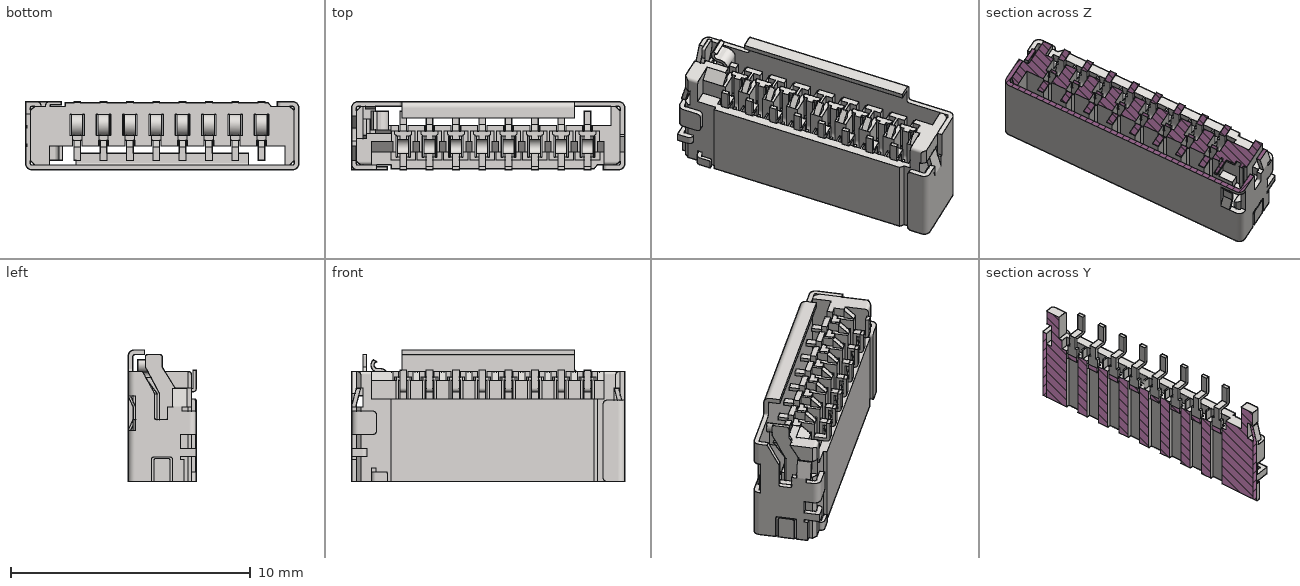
import cadquery as cq

LENGTH = 11.4
DEPTH = 2.85
HEIGHT = 5.5
RIM = 4.59
SHEET = 0.2
BEND = 0.27

TAB_LEFT, TAB_RIGHT = 2.1, 9.3
TAB_LIP = 0.7
TAB_ROOT_RADIUS = 0.1
LEFT_FLAP_END = 1.05
LEFT_FLAP_BOTTOM, LEFT_FLAP_TOP = 1.96, 2.94
HOOK_END, HOOK_ROUND = 0.65, 0.19
HOOK_EDGE = 0.66
HOOK_BOTTOM, HOOK_TOP = 1.04, 1.39
RIGHT_FLAP_START = 10.49
FLAP_RADIUS = 0.17
LEFT_SILL = 3.11
RIGHT_SILL = 3.4
SLOT_FLOOR = 2.59
SLOT_FRONT, SLOT_BACK = 1.2, 1.74
SLOT_RADIUS = 0.08
SLOT_KNEE = 3.67
SLOT_MOUTH = 2.25
RIGHT_STEP = 1.48
FINGER_TOP = 3.88
FINGER_SLOPE = 0.25
FINGER_SHEET = 0.18
LEFT_FINGER_FRONT, LEFT_FINGER_BACK = 0.4, 0.99
RIGHT_FINGER_FRONT, RIGHT_FINGER_BACK = 0.75, 1.39
RIGHT_FINGER_FOOT = 2.85
WINDOW_BOTTOM, WINDOW_TOP = 2.13, 3.58
WINDOW_END = 1.0
BOW_START = 0.59
BOW_SHEET = 0.1
BOW_DIP = 0.32
BOW_RAMP = 0.48

PANEL_FACE = 0.05
PANEL_LEFT, PANEL_RIGHT = 1.65, 10.11
PANEL_BEVEL = 0.14
LEDGE = 3.45
LEDGE_LEFT, LEDGE_RIGHT = 0.83, 10.52
COMB_FRONT, SLOPE_BACK = 0.75, 1.19
SLOPE_FOOT = 4.22
COMB_BACK = 1.86
BLOCK_BACK = 1.52
COMB_LEFT = 1.64
LEFT_PILLAR_END, RIGHT_PILLAR_START = 1.0, 10.81
END_BEVEL_X, END_BEVEL_Y = 0.18, 0.15
REAR_BEVEL = 0.18
TOP_ROUND = 0.14
LEFT_NOTCH, RIGHT_NOTCH = 0.48, 10.94
NOTCH_TOP = 3.9
ARM_SHEET = 0.15
ARM_TOP = 5.3
ARM_FRONT, ARM_BACK = 1.06, 1.54
CLIP_LEFT, CLIP_RIGHT = 0.83, 1.49
CLIP_SHEET, CLIP_ROOT = 0.14, 0.19
CLIP_TOP, CLIP_SLOT_TOP = 0.41, 0.56

CONTACTS = 8
FIRST_CONTACT, LAST_CONTACT = 2.15, 9.84
PITCH = (LAST_CONTACT - FIRST_CONTACT) / (CONTACTS - 1)
STRIP = 0.15
TAIL_WIDTH = 0.28
SPRING_WIDTH = 0.48
LEG_TOP = 4.65
RUN_BOTTOM = 3.74
SPRING_TOP = 3.31
SPRING_CENTER = 2.96
TAIL_END, TAIL_KNEE, TAIL_TOP = 2.45, 1.89, 3.88
BRIDGE_TOP = 4.35
BRIDGE_WIDTH, BRIDGE_BEVEL = 0.71, 0.08

CELL_WIDTH = 0.59
CELL_FRONT, CELL_BACK = 0.54, 1.41
PLATE_FRONT = 1.62
FRONT_MOUTH_WIDTH, REAR_MOUTH_WIDTH = 0.83, 0.99
PLATE_GAP = 0.39
POCKET_WIDTH, POCKET_FRONT, POCKET_DEPTH = 1.03, 0.42, 0.46


def block(x0, x1, y0, y1, z0, z1):
    return cq.Workplane("XY").box(x1 - x0, y1 - y0, z1 - z0, centered=False).translate((x0, y0, z0))


def side_profile(points, x0, x1):
    """Extrude a closed outline of (Y, Z) points from x0 to x1."""
    return cq.Workplane("YZ").polyline(points).close().extrude(x1 - x0).translate((x0, 0, 0))


def front_profile(points, y0, y1):
    """Extrude a closed outline of (X, Z) points from y0 to y1."""
    return cq.Workplane("XZ").polyline(points).close().extrude(y0 - y1).translate((0, y0, 0))


def wall_ring():
    """Closed rectangular sleeve from which the four walls are cut."""
    outer = block(0, LENGTH, 0, DEPTH, 0, RIM).edges("|Z").fillet(BEND)
    inner = block(SHEET, LENGTH - SHEET, SHEET, DEPTH - SHEET, 0, RIM).edges("|Z").fillet(BEND - SHEET)
    return outer.cut(inner)


def left_wall_opening():
    """Slot for the latch arm, low front sill and stepped front edge, with the flap left standing."""
    reach = BEND + SHEET
    mouth = [(-0.11, LEFT_SILL), (SLOT_FRONT, LEFT_SILL), (SLOT_FRONT, SLOT_FLOOR), (SLOT_BACK, SLOT_FLOOR),
             (SLOT_BACK, SLOT_KNEE), (SLOT_MOUTH, RIM), (-0.11, RIM)]
    opening = side_profile(mouth, 0, reach).edges("|X and <Z").fillet(SLOT_RADIUS)
    relief_depth, low_edge, low_edge_top = 0.59, 0.51, 0.92
    opening = opening.union(block(0, reach, 0, relief_depth, LEFT_FLAP_TOP, LEFT_SILL))
    opening = opening.union(block(0, reach, 0, HOOK_EDGE, low_edge_top, LEFT_FLAP_BOTTOM))
    return opening.union(block(0, reach, 0, low_edge, 0, low_edge_top))


def right_wall_opening():
    """Low front part of the right wall, with a gap below for its spring finger."""
    start = LENGTH - BEND - SHEET
    step = block(start, LENGTH, 0, RIGHT_STEP, RIGHT_SILL, RIM)
    gap = block(start, LENGTH, RIGHT_FINGER_FRONT, RIGHT_FINGER_BACK, RIGHT_FINGER_FOOT, RIGHT_SILL)
    return step.union(gap)


def front_opening():
    """Clears the front wall except for the two flaps."""
    start = BEND + SHEET
    opening = block(start, RIGHT_FLAP_START, 0, SHEET, 0, RIM)
    flap = block(0, LEFT_FLAP_END, 0, SHEET, LEFT_FLAP_BOTTOM, LEFT_FLAP_TOP)
    flap = flap.edges("|Y and >X").fillet(FLAP_RADIUS)
    above_right_flap = block(RIGHT_FLAP_START, LENGTH, 0, SHEET, RIGHT_SILL, RIM)
    return opening.cut(flap).union(above_right_flap)


def corner_hook():
    """Square-cornered hook around the front left edge, rounded at its end."""
    side = block(0, SHEET, 0, HOOK_EDGE, HOOK_BOTTOM, HOOK_TOP)
    front = block(0, HOOK_END, 0, SHEET, HOOK_BOTTOM, HOOK_TOP)
    return side.union(front.edges("|Z and >X and <Y").fillet(HOOK_ROUND))


def rear_tab():
    """Raised rear tab folded forward at the top, with rounded roots."""
    rise = block(TAB_LEFT, TAB_RIGHT, DEPTH - TAB_LIP, DEPTH, RIM, HEIGHT)
    rise = rise.edges("|X and >Y and >Z").fillet(BEND)
    under = block(TAB_LEFT, TAB_RIGHT, DEPTH - TAB_LIP, DEPTH - SHEET, RIM, HEIGHT - SHEET)
    tab = rise.cut(under.edges("|X and >Y and >Z").fillet(BEND - SHEET))
    for edge, side in ((TAB_LEFT, -1), (TAB_RIGHT, 1)):
        toe = edge + side * TAB_ROOT_RADIUS
        root = block(min(edge, toe), max(edge, toe), DEPTH - SHEET, DEPTH, RIM, RIM + TAB_ROOT_RADIUS)
        round_cut = (cq.Workplane("XZ").center(toe, RIM + TAB_ROOT_RADIUS)
                     .circle(TAB_ROOT_RADIUS).extrude(-DEPTH))
        tab = tab.union(root.cut(round_cut))
    return tab


def leaning_finger(outer_x, inward, sill, y0, y1):
    """Spring finger rising from a wall sill and leaning into the shell."""
    inner_x = outer_x + inward * FINGER_SHEET
    lean = inward * FINGER_SLOPE * (FINGER_TOP - sill)
    outline = [(outer_x, sill), (inner_x, sill), (inner_x + lean, FINGER_TOP), (outer_x + lean, FINGER_TOP)]
    return front_profile(outline, y0, y1)


def bowed_spring():
    """Strip across the rear window, bowed inward."""
    def bow(offset):
        rear, crest = DEPTH - offset, DEPTH - BOW_DIP + BOW_SHEET - offset
        return [(rear, WINDOW_BOTTOM), (crest, WINDOW_BOTTOM + BOW_RAMP),
                (crest, WINDOW_TOP - BOW_RAMP), (rear, WINDOW_TOP)]

    return side_profile(bow(0) + bow(BOW_SHEET)[::-1], BOW_START, WINDOW_END)


def pressed_patch():
    """Shallow groove framing a patch at the foot of the left wall."""
    front, back, top, depth, radius, groove = 0.99, 1.88, 1.03, 0.06, 0.11, 0.1
    frame = block(0, depth, front, back, 0, top).edges("|X and >Z").fillet(radius)
    patch = block(0, depth, front + groove, back - groove, 0, top - groove / 2)
    patch = patch.edges("|X and >Z").fillet(radius)
    return frame.cut(patch)


def round_right_flap(shell):
    """Round the two free corners of the right flap."""
    corner_zone = cq.selectors.BoxSelector((RIGHT_FLAP_START - SHEET, -SHEET, -SHEET),
                                           (RIGHT_FLAP_START + SHEET, 2 * SHEET, RIGHT_SILL + SHEET))
    return shell.edges(corner_zone).edges("|Y").fillet(FLAP_RADIUS)


def make_shell():
    shell = wall_ring()
    shell = shell.cut(left_wall_opening())
    shell = shell.cut(right_wall_opening())
    shell = shell.cut(front_opening())
    shell = shell.cut(block(0, WINDOW_END, DEPTH - BOW_DIP, DEPTH, WINDOW_BOTTOM, WINDOW_TOP))
    shell = shell.cut(pressed_patch())
    shell = round_right_flap(shell)
    shell = shell.union(corner_hook())
    shell = shell.union(rear_tab())
    shell = shell.union(bowed_spring())
    shell = shell.union(leaning_finger(0, 1, LEFT_SILL, LEFT_FINGER_FRONT, LEFT_FINGER_BACK))
    return shell.union(leaning_finger(LENGTH, -1, RIGHT_FINGER_FOOT, RIGHT_FINGER_FRONT, RIGHT_FINGER_BACK))


def housing_block():
    """Full block with bevelled corners and rounded front top edge."""
    x0, x1, y0, y1 = SHEET, LENGTH - SHEET, SHEET, DEPTH - SHEET
    outline = [(x0, y0 + END_BEVEL_Y), (x0 + END_BEVEL_X, y0), (x1 - END_BEVEL_X, y0), (x1, y0 + END_BEVEL_Y),
               (x1, y1 - REAR_BEVEL), (x1 - REAR_BEVEL, y1), (x0 + REAR_BEVEL, y1), (x0, y1 - REAR_BEVEL)]
    body = cq.Workplane("XY").polyline(outline).close().extrude(RIM)
    return body.faces("<Y").edges(">Z").fillet(TOP_ROUND)


def front_panel():
    outline = [(PANEL_LEFT, SHEET), (PANEL_LEFT, PANEL_FACE), (PANEL_RIGHT, PANEL_FACE),
               (PANEL_RIGHT + PANEL_BEVEL, SHEET)]
    return cq.Workplane("XY").polyline(outline).close().extrude(LEDGE)


def comb_clearance():
    """Space above the front wall, bounded behind by the sloped comb face."""
    outline = [(0, LEDGE), (COMB_FRONT, LEDGE), (COMB_FRONT, SLOPE_FOOT), (SLOPE_BACK, RIM), (0, RIM)]
    return side_profile(outline, LEDGE_LEFT, LEDGE_RIGHT)


def rear_clearance():
    """Open well behind the comb and the well above the left corner."""
    well = block(LEFT_PILLAR_END, RIGHT_PILLAR_START, COMB_BACK, DEPTH, 0, RIM)
    corner = block(SHEET, COMB_LEFT, BLOCK_BACK, DEPTH, SLOT_FLOOR, RIM)
    deep_corner = block(LEFT_NOTCH, LEFT_PILLAR_END, BLOCK_BACK, DEPTH, WINDOW_BOTTOM, SLOT_FLOOR)
    return well.union(corner).union(deep_corner)


def finger_notches():
    """Recesses in both end faces for the leaning fingers and the latch slot."""
    slope_foot_y, slope_top_y, sill_step_y = 0.89, 1.31, 1.06
    outline = [(0, LEFT_SILL), (sill_step_y, LEFT_SILL), (sill_step_y, SLOT_FLOOR), (DEPTH, SLOT_FLOOR),
               (DEPTH, RIM), (slope_top_y, RIM), (slope_foot_y, NOTCH_TOP), (0, NOTCH_TOP)]
    left = side_profile(outline, SHEET, LEFT_NOTCH)
    right = block(RIGHT_NOTCH, LENGTH, 0, RIGHT_STEP, RIGHT_FINGER_FOOT, NOTCH_TOP)
    return left.union(right)


def latch_arm():
    """Upright arm in the slot of the left wall."""
    head_front, head_back = 1.42, 2.13
    shoulder, front_knee, corner = 4.79, 4.14, 0.09
    arm = side_profile([(ARM_FRONT, WINDOW_BOTTOM), (ARM_BACK, WINDOW_BOTTOM), (ARM_BACK, SLOT_KNEE),
                        (head_back, shoulder), (head_back, ARM_TOP), (head_front, ARM_TOP),
                        (head_front, shoulder), (ARM_FRONT, front_knee)], LEFT_NOTCH, LEFT_NOTCH + ARM_SHEET)
    return arm.edges("|X and >Z").fillet(corner)


def arm_backing():
    """Second sheet behind the latch arm, showing past its rear edge."""
    overhang, lean_back, lean_top = 0.1, 2.12, 4.33
    start = LEFT_NOTCH + ARM_SHEET
    return side_profile([(ARM_FRONT, WINDOW_BOTTOM), (ARM_BACK + overhang, WINDOW_BOTTOM),
                         (ARM_BACK + overhang, SLOT_KNEE), (lean_back, lean_top), (ARM_FRONT, lean_top)],
                        start, start + STRIP)


def curled_spring():
    """Curled strip beside the latch arm, rooted in the rear of the left block."""
    front, back, foot = 1.66, 2.45, 3.65
    strip = (cq.Workplane("XZ").moveTo(1.06, 4.99)
             .threePointArc((0.95, 4.85), (1.11, 4.72))
             .lineTo(1.23, 4.72)
             .threePointArc((1.44, 4.62), (1.55, 4.4))
             .lineTo(1.55, foot).lineTo(1.4, foot).lineTo(1.4, 4.4)
             .threePointArc((1.35, 4.51), (1.23, 4.57))
             .lineTo(1.04, 4.57)
             .threePointArc((0.81, 4.83), (0.91, 5.08))
             .close().extrude(front - back).translate((0, front, 0)))
    rise = front - BLOCK_BACK
    outline = [(BLOCK_BACK, foot), (front, foot), (front, foot + 2 * rise), (BLOCK_BACK, foot + rise)]
    root = side_profile(outline, LEFT_PILLAR_END, COMB_LEFT)
    return strip.union(root)


def foot_clip():
    """Small clip at the foot of the front face, bent out of its slot."""
    corner, bend = 0.07, 0.18
    plate = block(CLIP_LEFT, CLIP_RIGHT, 0, CLIP_SHEET, 0, CLIP_TOP).edges("|Y and >X and >Z").fillet(corner)
    root = block(CLIP_LEFT, CLIP_LEFT + CLIP_ROOT, 0, SHEET, 0, CLIP_TOP)
    return plate.union(root).edges("|Z and <X and <Y").fillet(bend)


def clip_slot():
    """Open end of the clip slot above the clip."""
    depth = 0.23
    return block(CLIP_LEFT, CLIP_LEFT + CLIP_ROOT, SHEET, SHEET + depth, CLIP_TOP, CLIP_SLOT_TOP)


def contact_cell(x):
    """Through cell, widened mouth, floor pocket and gap for the rear tail of one contact."""
    def across(width, y0, y1, z0, z1):
        return block(x - width / 2, x + width / 2, y0, y1, z0, z1)

    cell = across(CELL_WIDTH, CELL_FRONT, CELL_BACK, 0, RIM)
    cell = cell.union(across(FRONT_MOUTH_WIDTH, COMB_FRONT, SLOPE_BACK, SLOPE_FOOT, RIM))
    cell = cell.union(across(REAR_MOUTH_WIDTH, SLOPE_BACK, PLATE_FRONT, SLOPE_FOOT, RIM))
    cell = cell.union(across(PLATE_GAP, CELL_BACK, COMB_BACK, 0, RIM))
    return cell.union(across(POCKET_WIDTH, POCKET_FRONT, COMB_FRONT, LEDGE - POCKET_DEPTH, LEDGE))


def contact(x):
    """One contact: front leg, flat run, U-shaped spring in the cell, bridge and rear tail."""
    def strip(width, outline):
        return side_profile(outline, x - width / 2, x + width / 2)

    run_top = RUN_BOTTOM + STRIP
    run_back = CELL_FRONT + STRIP
    blade_front = CELL_BACK - STRIP
    leg = strip(TAIL_WIDTH, [(0, RUN_BOTTOM), (run_back, RUN_BOTTOM), (run_back, run_top),
                             (STRIP, run_top), (STRIP, LEG_TOP), (0, LEG_TOP)])
    leg = leg.edges("|X and <Y and <Z").fillet(STRIP)
    drop = strip(TAIL_WIDTH, [(CELL_FRONT, SPRING_TOP), (run_back, SPRING_TOP),
                              (run_back, RUN_BOTTOM), (CELL_FRONT, RUN_BOTTOM)])
    blade = strip(TAIL_WIDTH, [(blade_front, SPRING_TOP), (CELL_BACK, SPRING_TOP),
                               (CELL_BACK, BRIDGE_TOP), (blade_front, BRIDGE_TOP)])

    middle = (CELL_FRONT + CELL_BACK) / 2
    outer_radius = CELL_BACK - middle
    spring = (cq.Workplane("YZ").moveTo(CELL_FRONT, SPRING_TOP).lineTo(CELL_FRONT, SPRING_CENTER)
              .threePointArc((middle, SPRING_CENTER - outer_radius), (CELL_BACK, SPRING_CENTER))
              .lineTo(CELL_BACK, SPRING_TOP)
              .lineTo(blade_front, SPRING_TOP).lineTo(blade_front, SPRING_CENTER)
              .threePointArc((middle, SPRING_CENTER - outer_radius + STRIP), (run_back, SPRING_CENTER))
              .lineTo(run_back, SPRING_TOP).close()
              .extrude(SPRING_WIDTH).translate((x - SPRING_WIDTH / 2, 0, 0)))

    bridge = strip(BRIDGE_WIDTH, [(CELL_BACK, SLOPE_FOOT), (PLATE_FRONT, SLOPE_FOOT),
                                  (PLATE_FRONT, BRIDGE_TOP), (CELL_BACK, BRIDGE_TOP)])
    bridge = bridge.edges("|Z and <Y").chamfer(BRIDGE_BEVEL)
    tail = strip(TAIL_WIDTH, [(PLATE_FRONT, BRIDGE_TOP), (TAIL_KNEE, TAIL_TOP), (TAIL_END, TAIL_TOP),
                              (TAIL_END, TAIL_TOP - STRIP), (TAIL_KNEE, TAIL_TOP - STRIP),
                              (PLATE_FRONT, BRIDGE_TOP - STRIP)])
    return leg.union(drop).union(blade).union(spring).union(bridge).union(tail)


def make_housing():
    housing = housing_block()
    housing = housing.union(front_panel())
    housing = housing.cut(comb_clearance())
    housing = housing.cut(rear_clearance())
    housing = housing.cut(finger_notches())
    for index in range(CONTACTS):
        x = FIRST_CONTACT + index * PITCH
        housing = housing.cut(contact_cell(x))
        housing = housing.union(contact(x))
    housing = housing.union(latch_arm())
    housing = housing.union(arm_backing())
    housing = housing.union(curled_spring())
    housing = housing.cut(clip_slot())
    return housing.union(foot_clip())


shell = make_shell()
housing = make_housing()

result = cq.Compound.makeCompound([shell.val(), housing.val()])